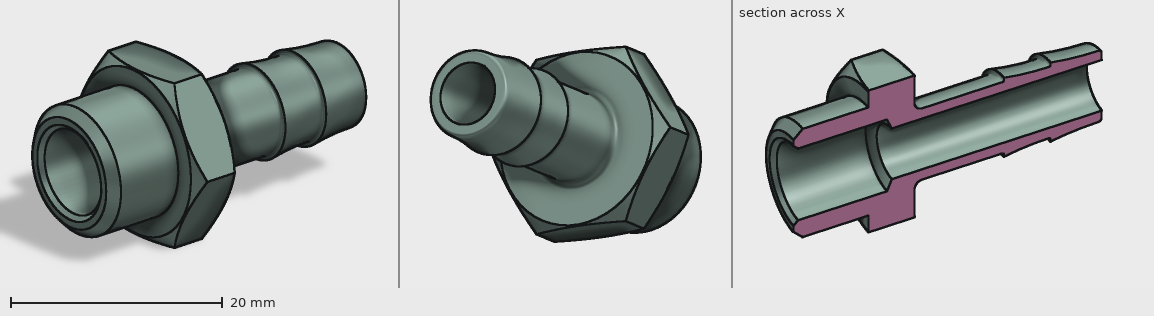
import cadquery as cq
import math

total_length = 33.0
thread_length = 8.0
hex_thickness = 5.0
hex_across_flats = 17.0
hex_chamfer_angle = 30.0
hex_face_radius = 8.38
blank_margin = 0.33

thread_radius = 6.5
thread_chamfer = 1.0

tail_radius = 4.3
tail_root_fillet = 0.8
tip_fillet = 0.45

barb_radius = 4.75
barb_pitch = 4.98
barb_root_fillet = 0.15
first_barb_shoulder = 5.5
barb_count = 2

through_radius = 3.0
bore_radius = 4.25
bore_depth = 10.0
bore_chamfer = 0.5
drill_point_angle = 135.0

thread_end = -total_length / 2
hex_start = thread_end + thread_length
hex_end = hex_start + hex_thickness
tail_tip = total_length / 2


ARC_MID_INSET = 1 - math.sqrt(0.5)


def revolve_y(profile):
    """Revolve an XY profile fully around the Y axis."""
    return profile.revolve(360, (0, 0, 0), (0, 1, 0))


def tapered_disc(start, end, start_radius, end_radius):
    """Solid frustum along Y between two stations."""
    outline = [(0, start), (start_radius, start), (end_radius, end), (0, end)]
    return revolve_y(cq.Workplane("XY").polyline(outline).close())


def make_thread():
    chamfer_start = thread_end + thread_chamfer
    tip = tapered_disc(thread_end, chamfer_start, thread_radius - thread_chamfer, thread_radius)
    return tip.union(tapered_disc(chamfer_start, hex_start, thread_radius, thread_radius))


def make_hexagon():
    """Hexagon with corners on X, both faces turned to a chamfer cone."""
    corner_radius = hex_across_flats / math.sqrt(3)
    corners = [
        (corner_radius * math.cos(math.radians(a)), corner_radius * math.sin(math.radians(a)))
        for a in range(0, 360, 60)
    ]
    prism = (
        cq.Workplane("XZ", origin=(0, hex_end, 0)).polyline(corners).close().extrude(hex_thickness)
    )
    blank_radius = corner_radius + blank_margin
    cone_length = (blank_radius - hex_face_radius) * math.tan(math.radians(hex_chamfer_angle))
    blank = [
        (0, hex_start),
        (hex_face_radius, hex_start),
        (blank_radius, hex_start + cone_length),
        (blank_radius, hex_end - cone_length),
        (hex_face_radius, hex_end),
        (0, hex_end),
    ]
    return prism.intersect(revolve_y(cq.Workplane("XY").polyline(blank).close()))


def make_tail():
    """Tail with barbs that flare tangentially from the tail radius, listed tip first."""
    barb_rise = barb_radius - tail_radius
    profile = cq.Workplane("XY").moveTo(0, tail_tip)
    flare_start = tail_tip - tip_fillet
    tip_inset = tip_fillet * ARC_MID_INSET
    profile = profile.lineTo(tail_radius - tip_fillet, tail_tip).threePointArc(
        (tail_radius - tip_inset, tail_tip - tip_inset), (tail_radius, flare_start)
    )
    for barb in range(barb_count):
        shoulder = tail_tip - first_barb_shoulder - barb * barb_pitch
        flare_length = flare_start - shoulder
        flare_radius = (flare_length**2 + barb_rise**2) / (2 * barb_rise)
        mid_angle = math.asin(flare_length / flare_radius) / 2
        mid_point = (
            tail_radius + flare_radius * (1 - math.cos(mid_angle)),
            flare_start - flare_radius * math.sin(mid_angle),
        )
        profile = profile.threePointArc(mid_point, (barb_radius, shoulder))
        flare_start = shoulder - barb_root_fillet
        fillet_offset = barb_root_fillet * ARC_MID_INSET
        profile = profile.lineTo(tail_radius + barb_root_fillet, shoulder).threePointArc(
            (tail_radius + fillet_offset, shoulder - fillet_offset), (tail_radius, flare_start)
        )
    root_offset = tail_root_fillet * ARC_MID_INSET
    profile = (
        profile.lineTo(tail_radius, hex_end + tail_root_fillet)
        .threePointArc(
            (tail_radius + root_offset, hex_end + root_offset),
            (tail_radius + tail_root_fillet, hex_end),
        )
        .lineTo(0, hex_end)
        .close()
    )
    return revolve_y(profile)


def make_bore():
    """Chamfered wide bore with a drill-point bottom leading into the through hole."""
    mouth_radius = bore_radius + bore_chamfer
    bore_end = thread_end + bore_depth
    point_length = (bore_radius - through_radius) / math.tan(math.radians(drill_point_angle / 2))
    outline = [
        (0, thread_end),
        (mouth_radius, thread_end),
        (bore_radius, thread_end + bore_chamfer),
        (bore_radius, bore_end),
        (through_radius, bore_end + point_length),
        (through_radius, tail_tip),
        (0, tail_tip),
    ]
    return revolve_y(cq.Workplane("XY").polyline(outline).close())


result = make_thread().union(make_hexagon()).union(make_tail()).cut(make_bore())